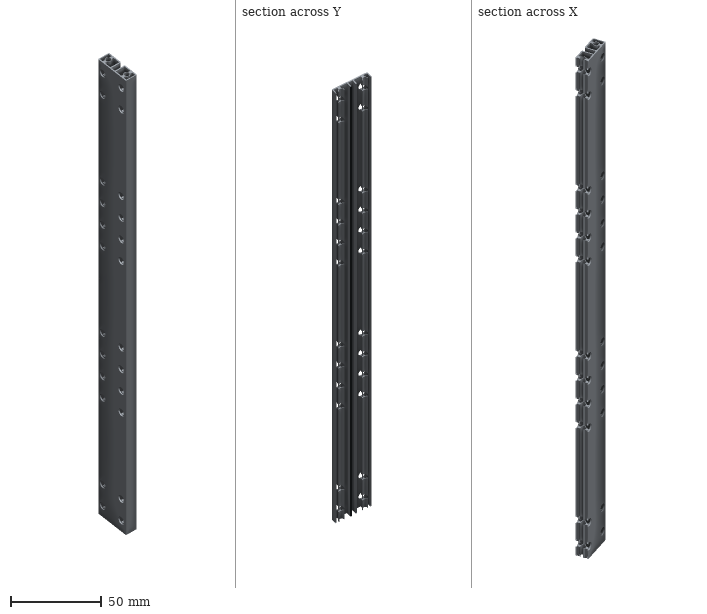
import cadquery as cq
length = 336.0
pitch = length / 21
width = 1.5 * pitch
depth = 0.5 * pitch

wall = 0.8
side_wall = 0.6
corner_radius = 0.5
slot_width = 3.0
slot_mouth_radius = 0.8
tube_outer_radius = 1.9
tube_bore_radius = 1.6
web_width = 1.8

hole_rows = (0, 1, 5, 6, 7, 8, 12, 13, 14, 15, 19, 20)
hole_radius = 1.95
counterbore_radius = 2.5
counterbore_depth = wall

tube_x = pitch / 2
channel_depth = depth - 2 * wall
channel_inner_x = slot_width / 2 + wall
channel_outer_x = width / 2 - side_wall
channel_width = channel_outer_x - channel_inner_x
channel_x = (channel_inner_x + channel_outer_x) / 2


def section_at(x, y=0):
    """Sketch plane on the lower end of the bar, centred at (x, y)."""
    return cq.Workplane("XY", origin=(x, y, -length / 2))


def outer_bar():
    """Solid bar with rounded long edges and a round-lipped slot open to +Y."""
    bar = section_at(0).rect(width, depth).extrude(length)
    bar = bar.edges("|Z").fillet(corner_radius)
    slot = section_at(0, wall / 2).rect(slot_width, depth - wall).extrude(length)
    bar = bar.cut(slot)
    lip_zone = cq.selectors.BoxSelector(
        (-slot_width, depth / 2 - wall, -length),
        (slot_width, depth / 2 + wall, length),
    )
    return bar.edges("|Z").edges(lip_zone).fillet(slot_mouth_radius)


def channel(side):
    """Lengthwise hollow around a tube that is held by a web to both broad walls."""
    hollow = section_at(side * channel_x).rect(channel_width, channel_depth).extrude(length)
    tube = section_at(side * tube_x).circle(tube_outer_radius).extrude(length)
    web = section_at(side * tube_x).rect(web_width, channel_depth).extrude(length)
    bore = section_at(side * tube_x).circle(tube_bore_radius).extrude(length)
    return hollow.cut(tube.union(web)).union(bore)


def cross_holes():
    """Cylinders along Y for the through holes and their counterbores on both faces."""
    points = [
        (side * tube_x, (row + 0.5) * pitch - length / 2)
        for row in hole_rows
        for side in (-1, 1)
    ]
    centers = cq.Workplane("XZ").pushPoints(points)
    holes = centers.circle(hole_radius).extrude(depth / 2, both=True)
    for y, cut_depth in ((-depth / 2, -counterbore_depth), (depth / 2, counterbore_depth)):
        face = cq.Workplane("XZ", origin=(0, y, 0)).pushPoints(points)
        holes = holes.union(face.circle(counterbore_radius).extrude(cut_depth))
    return holes


result = outer_bar()
for side in (-1, 1):
    result = result.cut(channel(side))
result = result.cut(cross_holes())